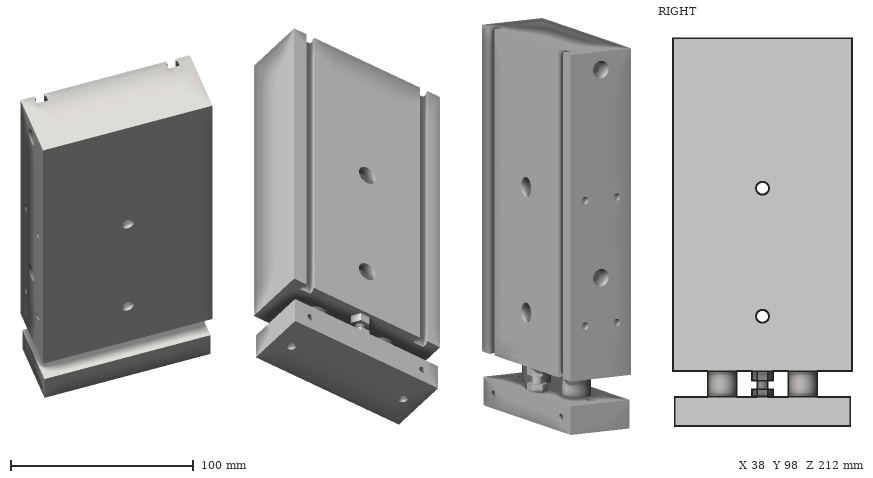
import cadquery as cq
import math

HOUSING_X = 38.0
HOUSING_Y = 98.0
HOUSING_Z = 182.0
HOUSING_FACE_X = -HOUSING_X / 2
HOUSING_SIDE_Y = -HOUSING_Y / 2

SLOT_OFFSET_Y = 38.0
SLOT_MOUTH_WIDTH = 5.2
SLOT_INNER_WIDTH = 6.6
SLOT_LIP = 1.7
SLOT_DEPTH = 5.2

MOUNT_LEVELS = (30.0, 100.0)
MOUNT_DIAMETER = 6.9
COUNTERBORE_DIAMETER = 11.0
COUNTERBORE_DEPTH = 6.0

SIDE_HOLE_DIAMETER = 4.13
SIDE_HOLE_OFFSET_X = 10.0
SIDE_HOLE_DEPTH = 8.0
PORT_LEVELS = (56.0, 172.0)
PORT_DIAMETER = 9.73
PORT_DEPTH = 10.0

GAP = 14.0
PLATE_X = 37.0
PLATE_Y = 96.0
PLATE_Z = 16.0
PLATE_TOP = -GAP
PLATE_BOTTOM = PLATE_TOP - PLATE_Z
ROD_DIAMETER = 16.0
ROD_OFFSET_Y = 22.0
PLATE_HOLE_OFFSET_Y = 37.5
PLATE_FACE_HOLE_DIAMETER = 4.13
PLATE_FACE_HOLE_DEPTH = 8.0
PLATE_THROUGH_DIAMETER = 5.0

BOLT_X = -12.0
BOLT_DIAMETER = 6.0
HEX_SIDES = 6
HEX_ACROSS_FLATS = 10.0
BOLT_HEAD_HEIGHT = 5.2
LOCK_NUT_HEIGHT = 3.8
LOCK_NUT_CLEARANCE = 0.2


def slot_block(start_x, y, depth, width):
    """Full-height block that runs from start_x toward +X."""
    block = cq.Workplane("XY").box(depth, width, HOUSING_Z, centered=(False, True, False))
    return block.translate((start_x, y, 0))


def cut_sensor_slots(body):
    """Cut the two T-shaped slots in the -X face."""
    for side in (-1, 1):
        y = side * SLOT_OFFSET_Y
        mouth = slot_block(HOUSING_FACE_X, y, SLOT_DEPTH, SLOT_MOUTH_WIDTH)
        inner = slot_block(HOUSING_FACE_X + SLOT_LIP, y, SLOT_DEPTH - SLOT_LIP, SLOT_INNER_WIDTH)
        body = body.cut(mouth).cut(inner)
    return body


def hole_along_x(start_x, y, z, diameter, depth):
    """Cylinder that runs from start_x toward +X."""
    return cq.Workplane("YZ", origin=(start_x, y, z)).circle(diameter / 2).extrude(depth)


def cylinder_along_z(x, y, z, diameter, height):
    """Cylinder that runs from z upward."""
    return cq.Workplane("XY", origin=(x, y, z)).circle(diameter / 2).extrude(height)


def side_hole(x, z, diameter, depth):
    """Cylinder that runs from the -Y side of the housing toward +Y."""
    return cq.Workplane("XZ", origin=(x, HOUSING_SIDE_Y, z)).circle(diameter / 2).extrude(-depth)


def make_housing():
    body = cq.Workplane("XY").box(HOUSING_X, HOUSING_Y, HOUSING_Z, centered=(True, True, False))
    body = cut_sensor_slots(body)
    for level in MOUNT_LEVELS:
        body = body.cut(hole_along_x(HOUSING_FACE_X, 0, level, MOUNT_DIAMETER, HOUSING_X))
        body = body.cut(hole_along_x(HOUSING_FACE_X, 0, level, COUNTERBORE_DIAMETER, COUNTERBORE_DEPTH))
        for side in (-1, 1):
            x = side * SIDE_HOLE_OFFSET_X
            body = body.cut(side_hole(x, level, SIDE_HOLE_DIAMETER, SIDE_HOLE_DEPTH))
    for level in PORT_LEVELS:
        body = body.cut(side_hole(0, level, PORT_DIAMETER, PORT_DEPTH))
    return body


def make_rod_plate():
    """End plate and the two rods that carry it, as one solid."""
    body = cq.Workplane("XY", origin=(0, 0, PLATE_BOTTOM)).box(
        PLATE_X, PLATE_Y, PLATE_Z, centered=(True, True, False)
    )
    for side in (-1, 1):
        rod = cylinder_along_z(0, side * ROD_OFFSET_Y, PLATE_TOP, ROD_DIAMETER, GAP)
        body = body.union(rod)
        hole_y = side * PLATE_HOLE_OFFSET_Y
        through = cylinder_along_z(0, hole_y, PLATE_BOTTOM, PLATE_THROUGH_DIAMETER, PLATE_Z)
        face_hole = hole_along_x(
            -PLATE_X / 2, hole_y, PLATE_TOP - PLATE_Z / 2, PLATE_FACE_HOLE_DIAMETER, PLATE_FACE_HOLE_DEPTH
        )
        body = body.cut(through).cut(face_hole)
    return body


def hexagon(z, height):
    """Hexagonal prism on the bolt axis, with two corners on the Y direction."""
    across_corners = HEX_ACROSS_FLATS / math.cos(math.pi / HEX_SIDES)
    prism = cq.Workplane("XY").polygon(HEX_SIDES, across_corners).extrude(height)
    return prism.rotate((0, 0, 0), (0, 0, 1), 90).translate((BOLT_X, 0, z))


def make_stop_bolt():
    """Bolt head under the housing, shank, and lock nut just above the plate, as one solid."""
    shank = cylinder_along_z(BOLT_X, 0, PLATE_TOP, BOLT_DIAMETER, GAP)
    head = hexagon(-BOLT_HEAD_HEIGHT, BOLT_HEAD_HEIGHT)
    lock_nut = hexagon(PLATE_TOP + LOCK_NUT_CLEARANCE, LOCK_NUT_HEIGHT)
    return shank.union(head).union(lock_nut)


housing = make_housing()
rod_plate = make_rod_plate()
stop_bolt = make_stop_bolt()

result = cq.Compound.makeCompound([housing.val(), rod_plate.val(), stop_bolt.val()])